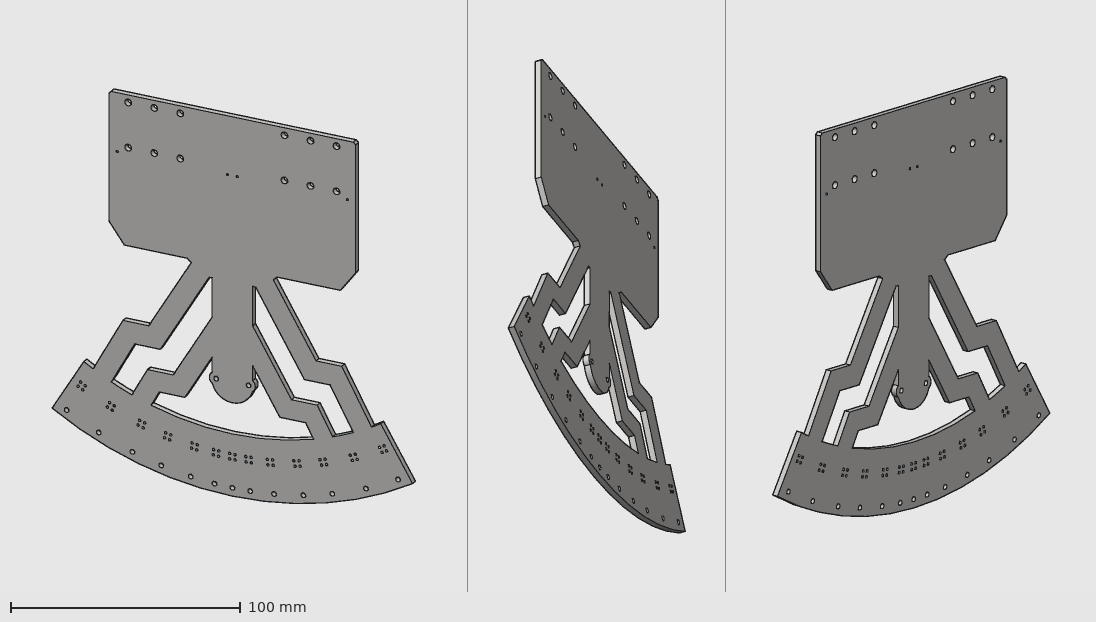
import cadquery as cq
import math

height = 183.0
thickness = 3.0

panel_half_width = 59.8
panel_bottom = 110.2
top_chamfer = 1.1
bottom_chamfer_width = 7.5
bottom_chamfer_height = 10.0

scale_radius = 169.8
scale_inner_radius = 139.8
scale_half_angle = 31.0
scale_center_z = scale_radius

column_half_width = 9.9
column_slot_top = 103.2
tongue_z = 55.0
tongue_radius = 10.0
lug_offset = 7.9
lug_radius = 3.3
lug_hole_diameter = 2.2

upper_slope = 1.68
lower_slope = 1.82
step_width = 12.5
outer_leg_outer_knee = (-40.6, 73.7)
outer_leg_inner_knee = (-35.0, 63.5)
outer_leg_foot_z = 37.5
inner_leg_outer_knee = (-28.7, 52.5)
inner_leg_inner_knee = (-23.0, 42.8)
inner_leg_foot_z = 32.0
leg_overlap = 1.8

notch_facet_x = -22.0
notch_facet_z = 108.5

mount_diameter = 3.1
mount_inner_x = 25.3
mount_pitch = 12.6
mount_rows = (157.5, 179.3)

pin_diameter = 1.0
pin_z = 154.6
pin_offsets = (2.4, 55.8)

mark_angles = (0, 3, 7, 12, 17, 23, 29)
marker_radius = 165.8
marker_diameter = 2.2
cluster_radius = 150.8
cluster_pitch = 2.5
cluster_hole_diameter = 1.1


def plate(outline):
    """Extrude a closed XZ outline through the thickness, centred on Y = 0."""
    return outline.extrude(thickness / 2, both=True)


def sketch():
    return cq.Workplane("XZ")


def both_sides(half):
    return half.union(half.mirror("YZ"))


def drill(points, diameter):
    return plate(sketch().pushPoints(points).circle(diameter / 2))


def scale_point(radius, angle):
    """Point on the scale at an angle measured from straight down."""
    turn = math.radians(angle)
    return (radius * math.sin(turn), scale_center_z - radius * math.cos(turn))


def make_panel():
    corner_z = panel_bottom + bottom_chamfer_height
    corner_x = panel_half_width - bottom_chamfer_width
    outline = [
        (-panel_half_width + top_chamfer, height),
        (panel_half_width - top_chamfer, height),
        (panel_half_width, height - top_chamfer),
        (panel_half_width, corner_z),
        (corner_x, panel_bottom),
        (-corner_x, panel_bottom),
        (-panel_half_width, corner_z),
        (-panel_half_width, height - top_chamfer),
    ]
    return plate(sketch().polyline(outline).close())


def make_scale():
    outline = (
        sketch()
        .moveTo(*scale_point(scale_radius, -scale_half_angle))
        .threePointArc(scale_point(scale_radius, 0), scale_point(scale_radius, scale_half_angle))
        .lineTo(*scale_point(scale_inner_radius, scale_half_angle))
        .threePointArc(
            scale_point(scale_inner_radius, 0),
            scale_point(scale_inner_radius, -scale_half_angle),
        )
        .close()
    )
    return plate(outline)


def make_column():
    column_height = panel_bottom - tongue_z
    column = plate(
        sketch()
        .center(0, tongue_z + column_height / 2)
        .rect(2 * column_half_width, column_height)
    )
    tongue = plate(sketch().center(0, tongue_z).circle(tongue_radius))
    lugs = plate(
        sketch().pushPoints([(-lug_offset, tongue_z), (lug_offset, tongue_z)]).circle(lug_radius)
    )
    shoulder_height = panel_bottom - column_slot_top
    shoulder = plate(
        sketch()
        .center(0, column_slot_top + shoulder_height / 2)
        .rect(2 * (column_half_width + leg_overlap), shoulder_height)
    )
    return column.union(tongue).union(lugs).union(shoulder)


def leg_edge(knee, foot_z, top_z):
    """Stepped edge: slanted down to the knee, level outwards, then slanted to the foot."""
    knee_x, knee_z = knee
    top_x = knee_x + (top_z - knee_z) / upper_slope
    step_x = knee_x - step_width
    foot_x = step_x - (knee_z - foot_z) / lower_slope
    return [(top_x, top_z), knee, (step_x, knee_z), (foot_x, foot_z)]


def make_outer_leg():
    upper = leg_edge(outer_leg_outer_knee, outer_leg_foot_z, top_z=notch_facet_z)
    lower = leg_edge(outer_leg_inner_knee, outer_leg_foot_z, top_z=panel_bottom)
    facet_top = (notch_facet_x, panel_bottom)
    return plate(sketch().polyline([facet_top] + upper + lower[::-1]).close())


def top_inside_column(knee):
    """Height at which an upper slant has just passed into the column."""
    knee_x, knee_z = knee
    return knee_z + (leg_overlap - column_half_width - knee_x) * upper_slope


def make_inner_leg():
    upper_top = top_inside_column(inner_leg_outer_knee)
    lower_top = top_inside_column(inner_leg_inner_knee)
    upper = leg_edge(inner_leg_outer_knee, inner_leg_foot_z, upper_top)
    lower = leg_edge(inner_leg_inner_knee, inner_leg_foot_z, lower_top)
    return plate(sketch().polyline(upper + lower[::-1]).close())


def panel_holes():
    mount_points = [
        (side * (mount_inner_x + column * mount_pitch), row)
        for side in (-1, 1)
        for column in range(3)
        for row in mount_rows
    ]
    pin_points = [(side * offset, pin_z) for side in (-1, 1) for offset in pin_offsets]
    return drill(mount_points, mount_diameter).union(drill(pin_points, pin_diameter))


def lug_holes():
    return drill([(-lug_offset, tongue_z), (lug_offset, tongue_z)], lug_hole_diameter)


def cluster_points(angle):
    """Corners of a square centred on the scale and turned to its angle."""
    center_x, center_z = scale_point(cluster_radius, angle)
    turn = math.radians(angle)
    half = cluster_pitch / 2
    return [
        (
            center_x + u * math.cos(turn) - v * math.sin(turn),
            center_z + u * math.sin(turn) + v * math.cos(turn),
        )
        for u in (-half, half)
        for v in (-half, half)
    ]


def scale_holes():
    angles = [-angle for angle in mark_angles if angle > 0] + list(mark_angles)
    markers = drill([scale_point(marker_radius, angle) for angle in angles], marker_diameter)
    clusters = drill(
        [point for angle in angles for point in cluster_points(angle)],
        cluster_hole_diameter,
    )
    return markers.union(clusters)


body = make_panel().union(make_scale()).union(make_column())
body = body.union(both_sides(make_outer_leg())).union(both_sides(make_inner_leg()))
result = body.cut(panel_holes()).cut(lug_holes()).cut(scale_holes())